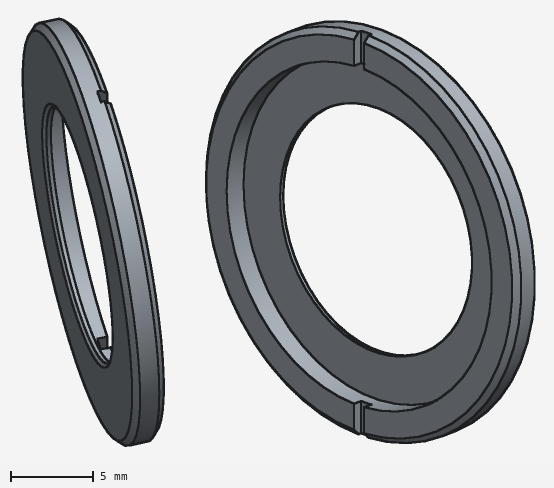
import cadquery as cq

outer_diameter = 26.3
thickness = 2.0
outer_chamfer = 0.4

bore_diameter = 16.0
bore_chamfer = 0.2
lip_thickness = 0.5
recess_diameter = 22.1

slot_width = 0.85
slot_depth = 0.63

outer_radius = outer_diameter / 2
bore_radius = bore_diameter / 2
recess_radius = recess_diameter / 2
front_y = -thickness / 2
back_y = thickness / 2
lip_back_y = front_y + lip_thickness


def ring_body():
    """Ring revolved about Y, with chamfered rims and a chamfer at the front of the bore."""
    section = [
        (bore_radius + bore_chamfer, front_y),
        (outer_radius - outer_chamfer, front_y),
        (outer_radius, front_y + outer_chamfer),
        (outer_radius, back_y - outer_chamfer),
        (outer_radius - outer_chamfer, back_y),
        (recess_radius, back_y),
        (recess_radius, lip_back_y),
        (bore_radius, lip_back_y),
        (bore_radius, front_y + bore_chamfer),
    ]
    return cq.Workplane("XY").polyline(section).close().revolve(360, (0, 0, 0), (0, 1, 0))


def slot_cutter():
    """Bar that cuts the slot into the back face, as long as the ring is wide."""
    bar = cq.Workplane("XY").box(slot_width, slot_depth, outer_diameter)
    return bar.translate((0, back_y - slot_depth / 2, 0))


result = ring_body().cut(slot_cutter())